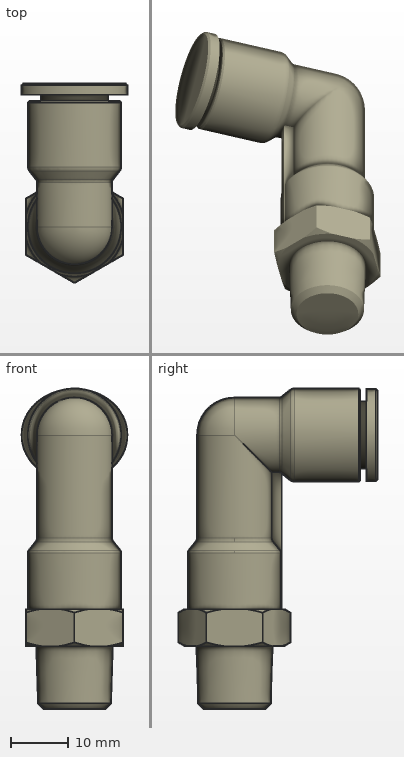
import cadquery as cq
import math

SOCKET_AXIS_Z = 47.8
SOCKET_END_Y = 25.0
TUBE_RADIUS = 6.55
BODY_RADIUS = 8.15

THREAD_LENGTH = 11.0
THREAD_TOP_RADIUS = 6.7
THREAD_TAPER = 1 / 32
END_CHAMFER = 1.0

HEX_SIDES = 6
HEX_FLATS = 17.0
HEX_TOP_Z = 17.45
HEX_FACE_RADIUS = 8.7
HEX_CHAMFER_ANGLE = 30.0

SHOULDER_LENGTH = 2.0

STEM_SHOULDER_Z = 27.5
STEM_TUBE_BLEND = 1.2
STEM_BODY_BLEND = 0.75

SOCKET_TUBE_END_Y = 8.05
SOCKET_TUBE_BLEND = 0.8
SOCKET_BODY_BLEND = 1.15
SOCKET_BODY_END_Y = 21.95
SOCKET_EDGE_CHAMFER = 0.3
NECK_RADIUS = 5.9

COLLAR_THICKNESS = 2.0
COLLAR_WIDTH = 18.5
COLLAR_HEIGHT = 16.15
COLLAR_CHAMFER = 0.35

WEB_THICKNESS = 1.5
WEB_REACH_Y = 8.25


def shouldered_tube(tube_end, body_end, tube_blend, body_blend):
    """Solid along +Z: tube from 0, conical shoulder with blended edges, then the wider body."""
    shoulder_end = tube_end + SHOULDER_LENGTH
    solid = (
        cq.Workplane("XZ")
        .lineTo(TUBE_RADIUS, 0)
        .lineTo(TUBE_RADIUS, tube_end)
        .lineTo(BODY_RADIUS, shoulder_end)
        .lineTo(BODY_RADIUS, body_end)
        .lineTo(0, body_end)
        .close()
        .revolve(360, (0, 0, 0), (0, 1, 0))
    )
    solid = blend_rim(solid, tube_end, tube_blend)
    return blend_rim(solid, shoulder_end, body_blend)


def blend_rim(solid, height, radius):
    """Fillet the circular edge lying at the given height."""
    reach = 2 * BODY_RADIUS
    margin = 0.01
    rim = cq.selectors.BoxSelector(
        (-reach, -reach, height - margin),
        (reach, reach, height + margin),
        boundingbox=True,
    )
    return solid.edges(rim).fillet(radius)


def make_stem():
    """Vertical tube running down from the elbow to the hexagon."""
    tube_length = SOCKET_AXIS_Z - STEM_SHOULDER_Z - SHOULDER_LENGTH
    stem_length = SOCKET_AXIS_Z - HEX_TOP_Z
    stem = shouldered_tube(tube_length, stem_length, STEM_TUBE_BLEND, STEM_BODY_BLEND)
    return stem.rotate((0, 0, 0), (1, 0, 0), 180).translate((0, 0, SOCKET_AXIS_Z))


def make_socket():
    """Horizontal tube, socket body, neck and collar, built along Z and laid along +Y."""
    socket = shouldered_tube(
        SOCKET_TUBE_END_Y, SOCKET_BODY_END_Y, SOCKET_TUBE_BLEND, SOCKET_BODY_BLEND
    )
    socket = socket.faces(">Z").chamfer(SOCKET_EDGE_CHAMFER)
    collar_start = SOCKET_END_Y - COLLAR_THICKNESS
    neck = cq.Workplane("XY").circle(NECK_RADIUS).extrude(collar_start)
    collar = (
        cq.Workplane("XY")
        .workplane(offset=collar_start)
        .ellipse(COLLAR_WIDTH / 2, COLLAR_HEIGHT / 2)
        .extrude(COLLAR_THICKNESS)
        .faces(">Z")
        .chamfer(COLLAR_CHAMFER)
    )
    socket = socket.union(neck).union(collar)
    return socket.rotate((0, 0, 0), (1, 0, 0), -90).translate((0, 0, SOCKET_AXIS_Z))


def make_hexagon():
    """Wrench hexagon with two flats facing along X."""
    corner_radius = HEX_FLATS / 2 / math.cos(math.pi / HEX_SIDES)
    height = HEX_TOP_Z - THREAD_LENGTH
    prism = (
        cq.Workplane("XY")
        .workplane(offset=THREAD_LENGTH)
        .polygon(HEX_SIDES, 2 * corner_radius)
        .extrude(height)
        .rotate((0, 0, 0), (0, 0, 1), 180 / HEX_SIDES)
    )
    drop = (corner_radius - HEX_FACE_RADIUS) * math.tan(math.radians(HEX_CHAMFER_ANGLE))
    envelope = (
        cq.Workplane("XZ", origin=(0, 0, THREAD_LENGTH))
        .lineTo(HEX_FACE_RADIUS, 0)
        .lineTo(corner_radius, drop)
        .lineTo(corner_radius, height - drop)
        .lineTo(HEX_FACE_RADIUS, height)
        .lineTo(0, height)
        .close()
        .revolve(360, (0, 0, 0), (0, 1, 0))
    )
    return prism.intersect(envelope)


def make_thread():
    """Tapered cylinder standing in for the thread, chamfered at its lower end."""
    lower_radius = THREAD_TOP_RADIUS - (THREAD_LENGTH - END_CHAMFER) * THREAD_TAPER
    return (
        cq.Workplane("XZ")
        .lineTo(lower_radius - END_CHAMFER, 0)
        .lineTo(lower_radius, END_CHAMFER)
        .lineTo(THREAD_TOP_RADIUS, THREAD_LENGTH)
        .lineTo(0, THREAD_LENGTH)
        .close()
        .revolve(360, (0, 0, 0), (0, 1, 0))
    )


def make_web():
    """Thin rib in the inner corner of the elbow."""
    return (
        cq.Workplane("XY")
        .workplane(offset=HEX_TOP_Z)
        .center(0, WEB_REACH_Y / 2)
        .rect(WEB_THICKNESS, WEB_REACH_Y)
        .extrude(SOCKET_AXIS_Z - HEX_TOP_Z)
    )


elbow = cq.Workplane("XY").sphere(TUBE_RADIUS).translate((0, 0, SOCKET_AXIS_Z))

result = make_thread()
for piece in (make_hexagon(), make_stem(), elbow, make_socket(), make_web()):
    result = result.union(piece)